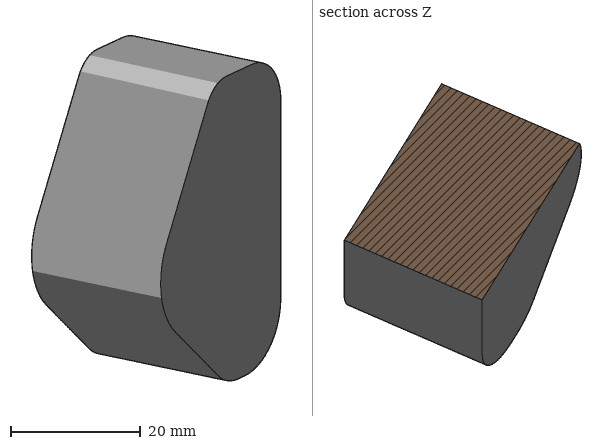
import cadquery as cq
import math

thickness = 24.0
depth = 33.2
height = 50.0

back_bottom_radius = 10.0
back_top_radius = 8.0
front_top_radius = 6.0
nose_radius = 12.0
front_bottom_radius = 8.0

front_top_setback = 15.0
nose_height = 21.3
front_bottom_setback = 12.0

back = depth / 2
front = -depth / 2
top = height / 2
base = -height / 2

corners = [
    (back - back_bottom_radius, base + back_bottom_radius, back_bottom_radius),
    (back - back_top_radius, top - back_top_radius, back_top_radius),
    (back - front_top_setback, top - front_top_radius, front_top_radius),
    (front + nose_radius, base + nose_height, nose_radius),
    (back - front_bottom_setback, base + front_bottom_radius, front_bottom_radius),
]


def tangent_normal(corner, following):
    """Direction angle of the outward normal of the flat joining two corners."""
    y1, z1, radius1 = corner
    y2, z2, radius2 = following
    distance = math.hypot(y2 - y1, z2 - z1)
    heading = math.atan2(z2 - z1, y2 - y1)
    return heading - math.acos((radius1 - radius2) / distance)


def point_on(corner, angle):
    """Point on the corner arc in the given direction from its centre."""
    y, z, radius = corner
    return (y + radius * math.cos(angle), z + radius * math.sin(angle))


def rounded_profile(workplane):
    """Closed outline of flats running tangent to each corner arc."""
    end_angle = tangent_normal(corners[-1], corners[0])
    outline = workplane.moveTo(*point_on(corners[-1], end_angle))
    for index, corner in enumerate(corners):
        following = corners[(index + 1) % len(corners)]
        start_angle = end_angle
        end_angle = tangent_normal(corner, following)
        sweep = (end_angle - start_angle) % (2 * math.pi)
        outline = outline.lineTo(*point_on(corner, start_angle)).threePointArc(
            point_on(corner, start_angle + sweep / 2),
            point_on(corner, end_angle),
        )
    return outline.close()


result = rounded_profile(cq.Workplane("YZ")).extrude(thickness / 2, both=True)